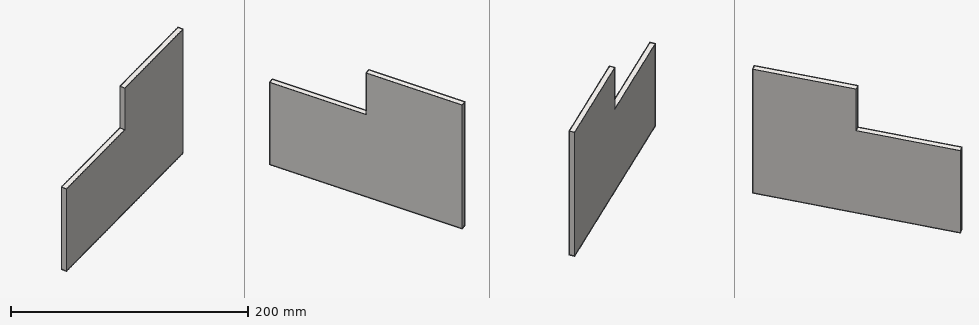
import cadquery as cq

thickness = 5.0
length = 182.5
full_height = 137.0
low_height = 91.0
step_position = 91.5

outline = [
    (0, 0),
    (length, 0),
    (length, full_height),
    (step_position, full_height),
    (step_position, low_height),
    (0, low_height),
]

result = cq.Workplane("YZ").polyline(outline).close().extrude(thickness)